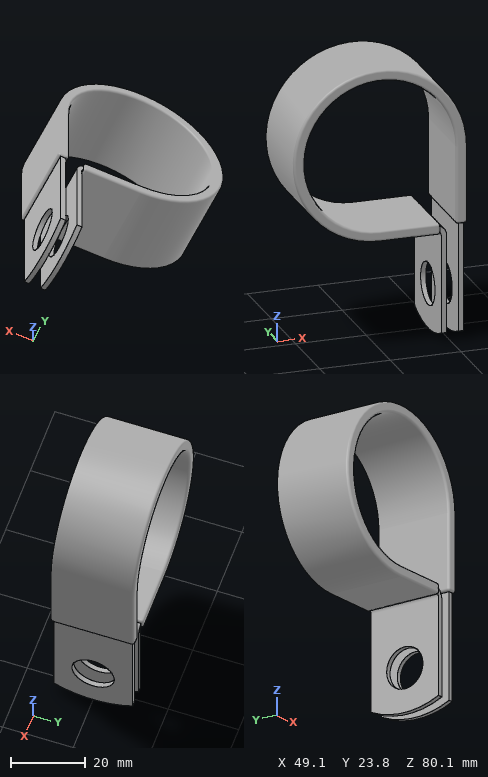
import cadquery as cq
import math

total_height = 80.1
loop_diameter = 49.1
strap_thickness = 1.5
strap_width = 22.4
cushion_cover = 0.8
cushion_width = 23.8
cushion_edge_radius = 0.7
upper_cushion_drop = 22.1
lower_cushion_reach = 17.0
leg_gap = 3.3
bend_outer_radius = 3.0
hole_diameter = 11.9
hole_drop = 42.8
tip_sag = 2.5

cushion_outer = loop_diameter / 2
cushion_inner = cushion_outer - strap_thickness - 2 * cushion_cover
strap_outer = cushion_outer - cushion_cover
strap_inner = strap_outer - strap_thickness
leg_bottom = cushion_outer - total_height
bent_leg_outer = strap_inner - leg_gap
bent_leg_inner = bent_leg_outer - strap_thickness
bend_inner_radius = bend_outer_radius - strap_thickness
bend_x = bent_leg_outer - bend_outer_radius
bend_z = -strap_inner - bend_outer_radius
bend_diagonal = math.sqrt(0.5)


def make_cushion():
    """Rounded cushion around the loop, open at the lower right."""
    body = (
        cq.Workplane("XZ")
        .moveTo(lower_cushion_reach, -cushion_outer)
        .lineTo(0, -cushion_outer)
        .threePointArc((-cushion_outer, 0), (0, cushion_outer))
        .threePointArc(
            (cushion_outer * bend_diagonal, cushion_outer * bend_diagonal),
            (cushion_outer, 0),
        )
        .lineTo(cushion_outer, -upper_cushion_drop)
        .lineTo(cushion_inner, -upper_cushion_drop)
        .lineTo(cushion_inner, 0)
        .threePointArc(
            (cushion_inner * bend_diagonal, cushion_inner * bend_diagonal),
            (0, cushion_inner),
        )
        .threePointArc((-cushion_inner, 0), (0, -cushion_inner))
        .lineTo(lower_cushion_reach, -cushion_inner)
        .close()
        .extrude(cushion_width / 2, both=True)
    )
    lengthwise_edges = body.faces("<Y or >Y").edges()
    end_edges = body.edges("|Y").edges(
        cq.selectors.BoxSelector(
            (lower_cushion_reach - cushion_cover, -cushion_width, -loop_diameter),
            (loop_diameter, cushion_width, -cushion_cover),
        )
    )
    return lengthwise_edges.add(end_edges).fillet(cushion_edge_radius)


def make_straight_leg():
    """Strap leg that runs straight down from the right side of the loop."""
    return (
        cq.Workplane("XZ")
        .moveTo(strap_inner, 0)
        .lineTo(strap_outer, 0)
        .lineTo(strap_outer, leg_bottom)
        .lineTo(strap_inner, leg_bottom)
        .close()
        .extrude(strap_width / 2, both=True)
    )


def make_bent_leg():
    """Strap leg that leaves the lower cushion and bends downward."""
    outer_mid = bend_outer_radius * bend_diagonal
    inner_mid = bend_inner_radius * bend_diagonal
    return (
        cq.Workplane("XZ")
        .moveTo(0, -strap_inner)
        .lineTo(bend_x, -strap_inner)
        .threePointArc((bend_x + outer_mid, bend_z + outer_mid), (bent_leg_outer, bend_z))
        .lineTo(bent_leg_outer, leg_bottom)
        .lineTo(bent_leg_inner, leg_bottom)
        .lineTo(bent_leg_inner, bend_z)
        .threePointArc((bend_x + inner_mid, bend_z + inner_mid), (bend_x, -strap_outer))
        .lineTo(0, -strap_outer)
        .close()
        .extrude(strap_width / 2, both=True)
    )


def make_leg_outline():
    """Side silhouette of the legs: rounded tips and a through bolt hole."""
    half_width = strap_width / 2
    tip_corner = leg_bottom + tip_sag
    outline = (
        cq.Workplane("YZ")
        .moveTo(-half_width, 0)
        .lineTo(-half_width, tip_corner)
        .threePointArc((0, leg_bottom), (half_width, tip_corner))
        .lineTo(half_width, 0)
        .close()
        .extrude(loop_diameter)
    )
    hole = (
        cq.Workplane("YZ")
        .center(0, -hole_drop)
        .circle(hole_diameter / 2)
        .extrude(loop_diameter)
    )
    return outline.cut(hole)


legs = make_straight_leg().union(make_bent_leg()).intersect(make_leg_outline())

result = make_cushion().union(legs)